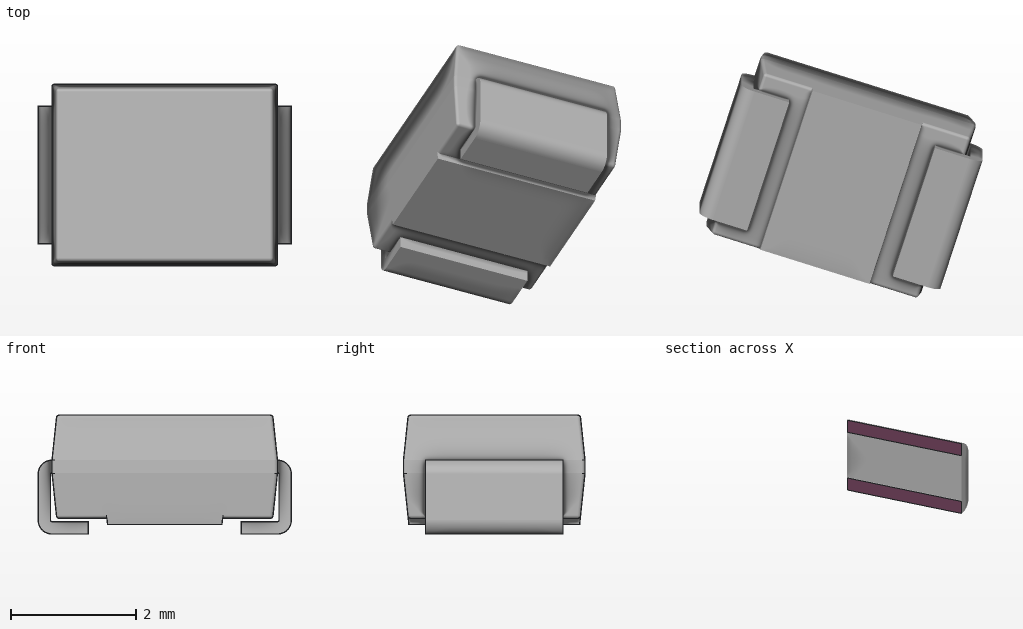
import cadquery as cq

body_length = 3.6
body_width = 2.9
body_bottom = 0.25
body_top = 1.9
band_top = 1.18
parting_strip = 0.01
draft_angle = 6.0
edge_radius = 0.05

pad_length = 2.0
pad_bottom = 0.15

overall_length = 4.04
lead_thickness = 0.2
lead_width = 2.2
foot_length = 0.8

band_bottom = band_top - lead_thickness
lower_top = band_bottom - parting_strip

outer_x = overall_length / 2
root_x = body_length / 2
bend_radius = outer_x - root_x
inner_bend_radius = bend_radius - lead_thickness
upper_bend_z = band_top - bend_radius
lower_bend_z = bend_radius


def block(length, width, base_z, end_z, draft=0):
    """Block centred on Z that narrows by the draft angle from base_z towards end_z."""
    return (
        cq.Workplane("XY", origin=(0, 0, base_z))
        .rect(length, width)
        .extrude(end_z - base_z, taper=draft)
    )


def make_body():
    """Two drafted halves about a straight band, rounded, with a pad flush with the long sides."""
    upper = block(body_length, body_width, band_top, body_top, draft_angle)
    band = block(body_length, body_width, band_bottom, band_top)
    strip = block(body_length, body_width, lower_top, band_bottom)
    lower = block(body_length, body_width, lower_top, body_bottom, draft_angle)
    pad = block(pad_length, body_width, lower_top, pad_bottom, draft_angle)

    shell = upper.union(band).union(strip, clean=False).union(lower, clean=False)
    rounded_edges = shell.edges("(not #Z) or >Z or <Z").vals()
    rounded_shell = shell.solids().val().fillet(edge_radius, rounded_edges)
    return cq.Workplane(rounded_shell).union(pad, clean=False).solids()


def lead_block(x_start, x_end, z_start, z_end):
    """Straight length of a lead, across the full lead width."""
    center = ((x_start + x_end) / 2, 0, (z_start + z_end) / 2)
    return cq.Workplane("XY", origin=center).box(x_end - x_start, lead_width, z_end - z_start)


def lead_bend(center_z, direction):
    """Quarter bend outward from the root line; direction is 1 for the top bend, -1 for the bottom."""
    diagonal = 0.5 ** 0.5
    return (
        cq.Workplane("XZ", origin=(root_x, 0, center_z))
        .moveTo(0, direction * inner_bend_radius)
        .lineTo(0, direction * bend_radius)
        .threePointArc(
            (bend_radius * diagonal, direction * bend_radius * diagonal),
            (bend_radius, 0),
        )
        .lineTo(inner_bend_radius, 0)
        .threePointArc(
            (inner_bend_radius * diagonal, direction * inner_bend_radius * diagonal),
            (0, direction * inner_bend_radius),
        )
        .close()
        .extrude(lead_width / 2, both=True)
    )


def make_lead(turn):
    """C-shaped lead of the +X end, turned about Z by the given angle in degrees."""
    wall = lead_block(outer_x - lead_thickness, outer_x, lower_bend_z, upper_bend_z)
    foot = lead_block(outer_x - foot_length, root_x, 0, lead_thickness)
    lead = (
        lead_bend(upper_bend_z, 1)
        .union(wall, clean=False)
        .union(lead_bend(lower_bend_z, -1), clean=False)
        .union(foot, clean=False)
    )
    return lead.rotate((0, 0, 0), (0, 0, 1), turn).solids()


body = make_body()
leads = [make_lead(turn) for turn in (0, 180)]

result = cq.Compound.makeCompound([body.val(), *[lead.val() for lead in leads]])